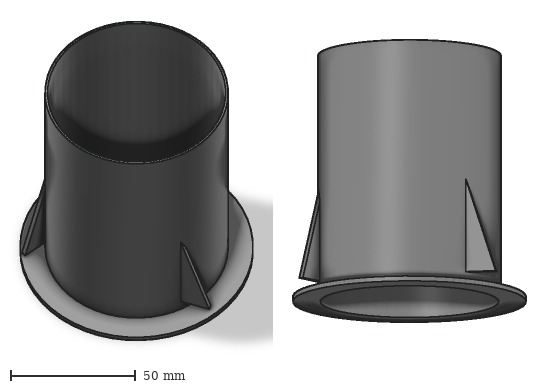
import cadquery as cq
import math

tube_outer_radius = 73.4 / 2
tube_inner_radius = 71.4 / 2
flange_radius = 93.4 / 2
total_height = 100.0
flange_thickness = 2.0

fin_count = 3
fin_spacing = 360 / fin_count
fin_thickness = 2.0
fin_angle = 40.0
fin_axis_offset = 23.3
fin_gap = 5.0
fin_height = 37.5
fin_tip = 39.6

far_face_offset = fin_axis_offset + fin_thickness / 2
fin_root = math.sqrt(tube_outer_radius**2 - far_face_offset**2)
fin_start = math.sqrt(tube_inner_radius**2 - far_face_offset**2)

fin_bottom = flange_thickness + fin_gap
fin_slope = fin_height / (fin_tip - fin_root)
fin_apex = fin_bottom + fin_slope * (fin_tip - fin_start)


def make_body():
    """Round flange with a solid cylinder standing on it."""
    flange = cq.Workplane("XY").circle(flange_radius).extrude(flange_thickness)
    cylinder = cq.Workplane("XY").circle(tube_outer_radius).extrude(total_height)
    return flange.union(cylinder)


def make_fin(index):
    """Triangular plate whose root is buried in the tube wall."""
    return (
        cq.Workplane("XZ", origin=(0, -fin_axis_offset, 0))
        .moveTo(fin_start, fin_bottom)
        .lineTo(fin_tip, fin_bottom)
        .lineTo(fin_start, fin_apex)
        .close()
        .extrude(fin_thickness / 2, both=True)
        .rotate((0, 0, 0), (0, 0, 1), fin_angle + index * fin_spacing)
    )


def make_bore():
    """Cylinder that hollows the tube and opens the flange."""
    return cq.Workplane("XY").circle(tube_inner_radius).extrude(total_height)


result = make_body()
for fin_index in range(fin_count):
    result = result.union(make_fin(fin_index))

result = result.cut(make_bore())